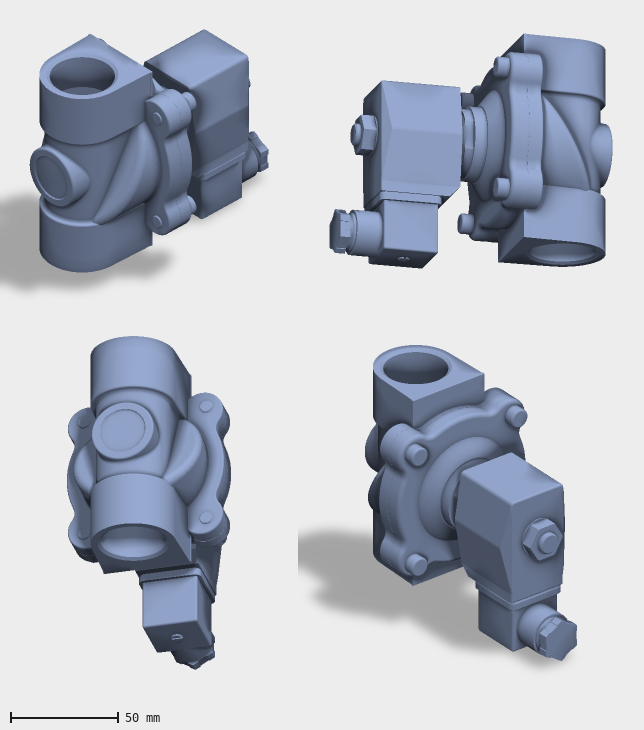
import cadquery as cq
import math


TOTAL_DEPTH = 130.45
TOTAL_HEIGHT = 108.8
HEX_HALF_ANGLE = math.pi / 6

BODY_LENGTH = 99.0
PORT_RADIUS = 20.0
PORT_SIDE_DRAFT = 1.8
PORT_RIM_HALF_WIDTH = 21.1
PORT_RIM_HEIGHT = 1.3
PORT_BACK_Y = 25.1
PORT_INNER_Z = 22.8
PORT_EDGE_ROUND = 0.9
NECK_ROUND = 1.55
NECK_RADIUS = 17.5
BORE_DIAMETER = 30.4
BORE_MOUTH_DIAMETER = 33.5
BORE_MOUTH_DEPTH = 1.1
BORE_DEPTH = 18.1

BOWL_RADIUS = 30.8
BOWL_ROUND = 3.0
BOWL_FLANGE_ROUND = 1.0
BOWL_FLOOR_ANGLE = 60.0
BOWL_FLOOR_Y = 4.3

BOSS_DIAMETER = 30.0
BOSS_ROUND = 0.9
BOSS_FOOT_ROUND = 1.0
BOSS_RECESS_DIAMETER = 22.4
BOSS_RECESS_DEPTH = 0.6
BOSS_RECESS_TAPER = 0.5

SELECT_MARGIN = 0.05

FLANGE_RADIUS = 37.935
LOBE_OFFSET = 27.4
LOBE_RADIUS = 10.0
LOBE_BLEND_RADIUS = 6.0
FLANGE_Y = 20.45
FLANGE_TOP_Y = 27.3
COVER_Y = 28.1
COVER_TOP_Y = 35.7
FLANGE_EDGE_ROUND = 0.8
COVER_EDGE_ROUND = 2.0
DIAPHRAGM_INSET = 0.1

SCREW_OFFSET = 29.45
SCREW_DIAMETER = 6.2
SCREW_END_Y = 19.7
SCREW_END_CHAMFER = 0.4
SCREW_HEAD_DIAMETER = 9.5
SCREW_HEAD_TOP_Y = 41.3
SCREW_HEAD_ROUND = 1.0

CONE_BASE_RADIUS = 26.3
CONE_TOP_RADIUS = 18.4
BONNET_RADIUS = 17.55
BONNET_Y = 41.6
BONNET_TOP_Y = 47.5
COLLAR_RADIUS = 16.1
COLLAR_ACROSS_FLATS = 29.2
COLLAR_TOP_Y = 51.6
STEM_RADIUS = 15.0

COIL_Y = 54.2
COIL_TOP_Y = 92.4
COIL_TOP_Z = 23.0
COIL_SHOULDER_Z = -26.0
COIL_BOTTOM_Z = -31.0
COIL_END_HALF_WIDTH = 15.2
COIL_HALF_WIDTH = 19.1
COIL_RIDGE_Z = -1.5
COIL_RIDGE_HALF_HEIGHT = 0.5
COIL_TOP_ROUND = 2.0
COIL_BACK_CHAMFER = COIL_HALF_WIDTH - COIL_END_HALF_WIDTH
COIL_BACK_ROUND = 1.0
COIL_FOOT_CHAMFER = COIL_SHOULDER_Z - COIL_BOTTOM_Z

WASHER_DIAMETER = 19.0
WASHER_TOP_Y = 93.1
NUT_ACROSS_FLATS = 16.7
NUT_TOP_Y = 99.2
NUT_CORNER_CHAMFER = 0.4
STUD_DIAMETER = 10.4
STUD_TOP_Y = 101.7
STUD_CHAMFER = 0.7

PLUG_Y = 64.05
PLUG_TOP_Y = 90.5
PLUG_WIDTH = PLUG_TOP_Y - PLUG_Y
PLUG_CENTRE_Y = (PLUG_Y + PLUG_TOP_Y) / 2
PLUG_BOTTOM_Z = -58.5
PLUG_ROUND = 1.0
PLUG_BOTTOM_ROUND = 0.9
GASKET_SIZE = 30.0
GASKET_BEVEL_WIDTH = 0.5
GASKET_BEVEL_HEIGHT = 0.8
GASKET_ROUND = 3.1
GASKET_BOTTOM_Z = -34.9
PLUG_SCREW_DIAMETER = 5.5
PLUG_SCREW_BOTTOM_Z = BODY_LENGTH / 2 - TOTAL_HEIGHT
PLUG_SCREW_CHAMFER = 0.4
PLUG_SCREW_SLOT = 0.9

GLAND_RADIUS = 10.6
GLAND_Z = PLUG_BOTTOM_Z + GLAND_RADIUS
GLAND_TOP_Y = 102.7
GLAND_RING_RADIUS = 9.3
GLAND_RING_TOP_Y = 104.2
GLAND_RING_CHAMFER = 0.6
GLAND_NECK_RADIUS = 8.6
CAP_Y = 105.8
CAP_TOP_Y = TOTAL_DEPTH - PORT_RADIUS
CAP_ACROSS_FLATS = 18.5
CAP_NOTCH_WIDTH = 4.7
CAP_NOTCH_DEPTH = 0.45


def plane_y(y):
    """Sketch plane facing +Y at height y, with local x = -X and local y = Z."""
    return cq.Workplane(cq.Plane(origin=(0, y, 0), xDir=(-1, 0, 0), normal=(0, 1, 0)))


def disc(radius, y_low, y_high, x=0.0, z=0.0):
    """Cylinder along Y."""
    return plane_y(y_low).center(-x, z).circle(radius).extrude(y_high - y_low)


def hexagon(across_flats, y_low, y_high, z=0.0, turn=0.0):
    """Hexagonal prism along Y, corners toward +X and -X unless turned (degrees)."""
    across_corners = across_flats / math.cos(HEX_HALF_ANGLE)
    prism = plane_y(y_low).polygon(6, across_corners).extrude(y_high - y_low)
    return prism.rotate((0, 0, 0), (0, 1, 0), turn).translate((0, 0, z))


def make_port(sign):
    """One pipe end: a U section with drafted sides, on the +Z or -Z side."""
    draft = math.radians(PORT_SIDE_DRAFT)
    rim_y = PORT_BACK_Y - PORT_RIM_HEIGHT
    tangent_x = PORT_RADIUS * math.cos(draft)
    tangent_y = -PORT_RADIUS * math.sin(draft)
    side_x = tangent_x + (rim_y - tangent_y) * math.tan(draft)
    length = BODY_LENGTH / 2 - PORT_INNER_Z
    port = (
        cq.Workplane("XY")
        .moveTo(-side_x, rim_y)
        .lineTo(-tangent_x, tangent_y)
        .threePointArc((0, -PORT_RADIUS), (tangent_x, tangent_y))
        .lineTo(side_x, rim_y)
        .close()
        .extrude(length)
        .faces("<Z").edges("not >Y").fillet(PORT_EDGE_ROUND)
    )
    rim = cq.Workplane("XY").box(
        2 * PORT_RIM_HALF_WIDTH, PORT_RIM_HEIGHT, length, centered=(True, False, False)
    ).translate((0, rim_y, 0))
    port = port.union(rim).translate((0, 0, PORT_INNER_Z))
    return port if sign > 0 else port.mirror("XY")


def make_neck():
    """U section between the two pipe ends."""
    return (
        cq.Workplane("XY")
        .moveTo(-NECK_RADIUS, PORT_BACK_Y)
        .lineTo(-NECK_RADIUS, 0)
        .threePointArc((0, -NECK_RADIUS), (NECK_RADIUS, 0))
        .lineTo(NECK_RADIUS, PORT_BACK_Y)
        .close()
        .extrude(2 * PORT_INNER_Z)
        .translate((0, 0, -PORT_INNER_Z))
    )


def make_bores():
    """Blind bore in each pipe end, with a widened mouth."""
    top = BODY_LENGTH / 2
    bore = cq.Workplane("XY").circle(BORE_DIAMETER / 2).extrude(BORE_DEPTH)
    bore = bore.translate((0, 0, top - BORE_DEPTH))
    mouth = (
        cq.Workplane("XZ")
        .moveTo(0, top - BORE_MOUTH_DEPTH)
        .lineTo(BORE_DIAMETER / 2, top - BORE_MOUTH_DEPTH)
        .lineTo(BORE_MOUTH_DIAMETER / 2, top)
        .lineTo(0, top)
        .close()
        .revolve(360, (0, 0, 0), (0, 1, 0))
    )
    bore = bore.union(mouth)
    return bore.union(bore.mirror("XY"))


def make_bowl():
    """Round bowl under the flange, cut off by a tilted flat floor."""
    bowl = disc(BOWL_RADIUS, -2 * PORT_RADIUS, FLANGE_Y)
    run = 2 * BOWL_RADIUS
    rise = run / math.tan(math.radians(BOWL_FLOOR_ANGLE))
    below = (
        cq.Workplane("YZ")
        .moveTo(BOWL_FLOOR_Y + rise, run)
        .lineTo(BOWL_FLOOR_Y - rise, -run)
        .lineTo(-BODY_LENGTH, -run)
        .lineTo(-BODY_LENGTH, run)
        .close()
        .extrude(run, both=True)
    )
    return bowl.cut(below).edges("<Y").fillet(BOWL_ROUND)


def lobed_plate(y_low, y_high, inset=0.0):
    """Round plate with four screw lobes, blended by hollow arcs."""
    disc_r = FLANGE_RADIUS - inset
    lobe_r = LOBE_RADIUS - inset
    blend_r = LOBE_BLEND_RADIUS + inset
    axis_gap = disc_r + blend_r
    lobe_gap = lobe_r + blend_r
    lobe_distance = LOBE_OFFSET * math.sqrt(2)
    cosine = (axis_gap**2 + lobe_distance**2 - lobe_gap**2) / (2 * axis_gap * lobe_distance)
    spread = math.acos(cosine)

    def polar(radius, angle):
        return (radius * math.cos(angle), radius * math.sin(angle))

    def toward(start, end, distance):
        span = math.dist(start, end)
        return tuple(a + (b - a) * distance / span for a, b in zip(start, end))

    def midpoint(start, end):
        return tuple((a + b) / 2 for a, b in zip(start, end))

    outline = plane_y(y_low).moveTo(*polar(disc_r, -math.pi / 4 + spread))
    for quarter in range(4):
        lobe_angle = math.pi / 4 + quarter * math.pi / 2
        lobe = polar(lobe_distance, lobe_angle)
        before = polar(axis_gap, lobe_angle - spread)
        after = polar(axis_gap, lobe_angle + spread)
        edge_middle = polar(disc_r, lobe_angle - math.pi / 4)
        disc_end = polar(disc_r, lobe_angle - spread)
        next_disc = polar(disc_r, lobe_angle + spread)
        lobe_start = toward(lobe, before, lobe_r)
        lobe_end = toward(lobe, after, lobe_r)
        lobe_tip = polar(lobe_distance + lobe_r, lobe_angle)
        blend_in = toward(before, midpoint(disc_end, lobe_start), blend_r)
        blend_out = toward(after, midpoint(lobe_end, next_disc), blend_r)
        outline = (
            outline.threePointArc(edge_middle, disc_end)
            .threePointArc(blend_in, lobe_start)
            .threePointArc(lobe_tip, lobe_end)
            .threePointArc(blend_out, next_disc)
        )
    return outline.close().extrude(y_high - y_low)


def make_screws():
    """Four cover screws, their tips standing just clear of the flange."""
    screws = None
    for x in (-SCREW_OFFSET, SCREW_OFFSET):
        for z in (-SCREW_OFFSET, SCREW_OFFSET):
            shank = disc(SCREW_DIAMETER / 2, SCREW_END_Y, COVER_Y, x, z)
            shank = shank.faces("<Y").chamfer(SCREW_END_CHAMFER)
            head = disc(SCREW_HEAD_DIAMETER / 2, COVER_Y, SCREW_HEAD_TOP_Y, x, z)
            screw = shank.union(head.faces(">Y").edges().fillet(SCREW_HEAD_ROUND))
            screws = screw if screws is None else screws.union(screw)
    return screws


def make_pipe():
    """The two pipe ends and the neck, with a round boss on the neck's front."""
    pipe = make_neck().union(make_port(1)).union(make_port(-1))
    step_reach = NECK_RADIUS + SELECT_MARGIN
    step_z = PORT_INNER_Z + SELECT_MARGIN
    near_neck = cq.selectors.BoxSelector(
        (-step_reach, -step_reach, -step_z), (step_reach, FLANGE_Y, step_z)
    )
    pipe = pipe.edges(near_neck).edges("not |Z").fillet(NECK_ROUND)

    boss_radius = BOSS_DIAMETER / 2
    pipe = pipe.union(disc(boss_radius, -PORT_RADIUS, 0))
    boss_reach = boss_radius + SELECT_MARGIN
    near_foot = cq.selectors.BoxSelector(
        (-boss_reach, -NECK_RADIUS, -boss_reach), (boss_reach, 0, boss_reach), boundingbox=False
    )
    pipe = pipe.edges(near_foot).fillet(BOSS_FOOT_ROUND)
    pipe = pipe.faces("<Y").edges("%CIRCLE").fillet(BOSS_ROUND)
    recess = disc(BOSS_RECESS_DIAMETER / 2, -PORT_RADIUS, -PORT_RADIUS + BOSS_RECESS_DEPTH)
    return pipe.cut(recess.faces(">Y").chamfer(BOSS_RECESS_TAPER))


def make_skirt():
    """Hollow rounding where the bowl meets the flange."""
    return (
        cq.Workplane("XY")
        .moveTo(0, FLANGE_Y)
        .lineTo(BOWL_RADIUS + BOWL_FLANGE_ROUND, FLANGE_Y)
        .radiusArc((BOWL_RADIUS, FLANGE_Y - BOWL_FLANGE_ROUND), -BOWL_FLANGE_ROUND)
        .lineTo(0, FLANGE_Y - BOWL_FLANGE_ROUND)
        .close()
        .revolve(360, (0, 0, 0), (0, 1, 0))
    )


def make_body():
    """Pipe, bowl and lower flange, with the ports bored out."""
    flange = lobed_plate(FLANGE_Y, FLANGE_TOP_Y).faces("<Y").edges().fillet(FLANGE_EDGE_ROUND)
    body = make_pipe().union(make_bowl().union(make_skirt())).union(flange)
    return body.cut(make_bores())


def make_bonnet():
    """Cover, diaphragm, cone and the stepped neck that carries the coil."""
    cover = lobed_plate(COVER_Y, COVER_TOP_Y).faces(">Y").edges().fillet(COVER_EDGE_ROUND)
    diaphragm = lobed_plate(FLANGE_TOP_Y, COVER_Y, DIAPHRAGM_INSET)
    cone = (
        plane_y(COVER_TOP_Y)
        .circle(CONE_BASE_RADIUS)
        .workplane(offset=BONNET_Y - COVER_TOP_Y)
        .circle(CONE_TOP_RADIUS)
        .loft()
    )
    flats = cq.Workplane("XY").box(COLLAR_ACROSS_FLATS, 2 * COLLAR_TOP_Y, 2 * COLLAR_RADIUS)
    collar = disc(COLLAR_RADIUS, BONNET_TOP_Y, COLLAR_TOP_Y).intersect(flats)
    return (
        cover.union(diaphragm)
        .union(cone)
        .union(disc(BONNET_RADIUS, BONNET_Y, BONNET_TOP_Y))
        .union(collar)
        .union(disc(STEM_RADIUS, COLLAR_TOP_Y, COIL_Y))
    )


def make_coil():
    """Coil housing: six-sided section with a flat foot, bevelled at the back."""
    right_side = [
        (COIL_END_HALF_WIDTH, COIL_TOP_Z),
        (COIL_HALF_WIDTH, COIL_RIDGE_Z + COIL_RIDGE_HALF_HEIGHT),
        (COIL_HALF_WIDTH, COIL_RIDGE_Z - COIL_RIDGE_HALF_HEIGHT),
        (COIL_END_HALF_WIDTH, COIL_SHOULDER_Z),
        (COIL_END_HALF_WIDTH, COIL_BOTTOM_Z),
    ]
    left_side = [(-x, z) for x, z in reversed(right_side)]
    coil = plane_y(COIL_Y).polyline(right_side + left_side).close().extrude(COIL_TOP_Y - COIL_Y)
    coil = coil.edges("|Y and >Z").fillet(COIL_TOP_ROUND)
    coil = coil.edges("<Z and <Y").chamfer(COIL_FOOT_CHAMFER)
    coil = coil.faces(">Y").edges().fillet(COIL_BACK_ROUND)
    plan = (
        cq.Workplane("XY")
        .rect(2 * COIL_HALF_WIDTH, 2 * COIL_TOP_Y)
        .extrude(2 * COIL_TOP_Z, both=True)
        .edges("|Z and >Y").chamfer(COIL_BACK_CHAMFER)
    )
    return coil.intersect(plan)


def make_nut():
    """Washer, hexagon nut and stud end that hold the coil."""
    washer = disc(WASHER_DIAMETER / 2, COIL_TOP_Y, WASHER_TOP_Y)
    nut_corner_radius = NUT_ACROSS_FLATS / 2 / math.cos(HEX_HALF_ANGLE)
    rounding = disc(nut_corner_radius, WASHER_TOP_Y, NUT_TOP_Y).edges().chamfer(NUT_CORNER_CHAMFER)
    nut = hexagon(NUT_ACROSS_FLATS, WASHER_TOP_Y, NUT_TOP_Y).intersect(rounding)
    stud = disc(STUD_DIAMETER / 2, NUT_TOP_Y, STUD_TOP_Y).faces(">Y").chamfer(STUD_CHAMFER)
    return washer.union(nut).union(stud)


def make_plug():
    """Square connector hanging below the coil, with its gasket and slotted screw."""
    gasket = (
        cq.Workplane("XY", origin=(0, COIL_TOP_Y - GASKET_SIZE / 2, GASKET_BOTTOM_Z))
        .rect(GASKET_SIZE, GASKET_SIZE)
        .extrude(COIL_BOTTOM_Z - GASKET_BOTTOM_Z)
        .edges("|Z").fillet(GASKET_ROUND)
        .faces(">Z").edges().chamfer(GASKET_BEVEL_HEIGHT, GASKET_BEVEL_WIDTH)
    )
    plug = (
        cq.Workplane("XY", origin=(0, PLUG_CENTRE_Y, PLUG_BOTTOM_Z))
        .rect(PLUG_WIDTH, PLUG_WIDTH)
        .extrude(GASKET_BOTTOM_Z - PLUG_BOTTOM_Z)
        .edges("|Z").fillet(PLUG_ROUND)
        .faces("<Z").edges().fillet(PLUG_BOTTOM_ROUND)
    )
    screw_height = PLUG_BOTTOM_Z - PLUG_SCREW_BOTTOM_Z
    screw = (
        cq.Workplane("XY", origin=(0, PLUG_CENTRE_Y, PLUG_SCREW_BOTTOM_Z))
        .circle(PLUG_SCREW_DIAMETER / 2)
        .extrude(screw_height)
        .faces("<Z").chamfer(PLUG_SCREW_CHAMFER)
    )
    slot = cq.Workplane("XY").box(PLUG_SCREW_DIAMETER, PLUG_SCREW_SLOT, screw_height)
    slot = slot.translate((0, PLUG_CENTRE_Y, PLUG_SCREW_BOTTOM_Z + screw_height / 2))
    return gasket.union(plug).union(screw.cut(slot))


def make_gland():
    """Cable gland at the back of the connector, with a notched hexagonal cap."""
    tube = disc(GLAND_RADIUS, PLUG_CENTRE_Y, GLAND_TOP_Y, 0, GLAND_Z)
    ring = disc(GLAND_RING_RADIUS, GLAND_TOP_Y, GLAND_RING_TOP_Y, 0, GLAND_Z)
    ring = ring.faces(">Y").chamfer(GLAND_RING_CHAMFER)
    neck = disc(GLAND_NECK_RADIUS, GLAND_RING_TOP_Y, CAP_Y, 0, GLAND_Z)
    cap = hexagon(CAP_ACROSS_FLATS, CAP_Y, CAP_TOP_Y, GLAND_Z, turn=math.degrees(HEX_HALF_ANGLE))
    for side in range(6):
        notch = cq.Workplane("XY").box(2 * CAP_NOTCH_DEPTH, 2 * CAP_TOP_Y, CAP_NOTCH_WIDTH)
        notch = notch.translate((CAP_ACROSS_FLATS / 2, 0, 0)).rotate((0, 0, 0), (0, 1, 0), 60 * side)
        cap = cap.cut(notch.translate((0, 0, GLAND_Z)))
    return tube.union(ring).union(neck).union(cap)


valve = make_body().union(make_bonnet()).union(make_screws())
actuator = make_coil().union(make_nut()).union(make_plug()).union(make_gland())
result = valve.union(actuator)